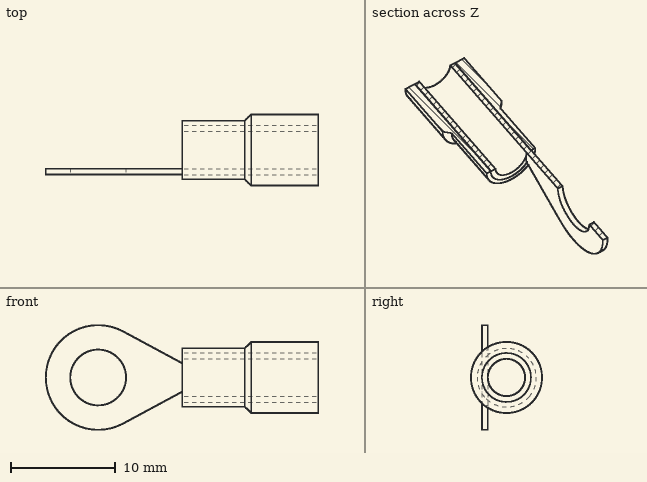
import cadquery as cq
import math

total_length = 26.0

eye_diameter = 10.0
stud_hole_diameter = 5.3
root_width = 2.75

barrel_diameter = 4.68
sheet_thickness = 0.57

sleeve_front = 13.0
neck_length = 5.98
taper_length = 0.62
neck_diameter = 5.62
sleeve_diameter = 6.8

eye_radius = eye_diameter / 2
eye_center = eye_radius
barrel_radius = barrel_diameter / 2
bore_radius = barrel_radius - sheet_thickness
sleeve_length = total_length - sleeve_front


def make_tongue():
    """Flat eye whose straight flanks leave the circle tangentially and run to the barrel."""
    root_distance = sleeve_front - eye_center
    root_half_width = root_width / 2
    corner_distance = math.hypot(root_distance, root_half_width)
    tangent_angle = math.atan2(root_half_width, root_distance) + math.acos(eye_radius / corner_distance)
    tangent_x = eye_center + eye_radius * math.cos(tangent_angle)
    tangent_z = eye_radius * math.sin(tangent_angle)

    return (
        cq.Workplane("XZ", origin=(0, -bore_radius, 0))
        .moveTo(sleeve_front, -root_half_width)
        .lineTo(sleeve_front, root_half_width)
        .lineTo(tangent_x, tangent_z)
        .threePointArc((0, 0), (tangent_x, -tangent_z))
        .close()
        .moveTo(eye_center, 0)
        .circle(stud_hole_diameter / 2)
        .extrude(sheet_thickness)
    )


def make_terminal():
    """Metal ring tongue and hollow barrel in one piece."""
    barrel = (
        cq.Workplane("YZ", origin=(sleeve_front, 0, 0))
        .circle(barrel_radius)
        .circle(bore_radius)
        .extrude(sleeve_length)
    )
    return barrel.union(make_tongue()).solids()


def make_sleeve():
    """Stepped insulating sleeve, turned about the barrel axis and fitted over the barrel."""
    neck_end = sleeve_front + neck_length
    return (
        cq.Workplane("XY")
        .moveTo(sleeve_front, barrel_radius)
        .lineTo(sleeve_front, neck_diameter / 2)
        .lineTo(neck_end, neck_diameter / 2)
        .lineTo(neck_end + taper_length, sleeve_diameter / 2)
        .lineTo(total_length, sleeve_diameter / 2)
        .lineTo(total_length, barrel_radius)
        .close()
        .revolve(360, (0, 0, 0), (1, 0, 0))
    )


terminal = make_terminal()
sleeve = make_sleeve()

result = cq.Compound.makeCompound([terminal.val(), sleeve.val()])